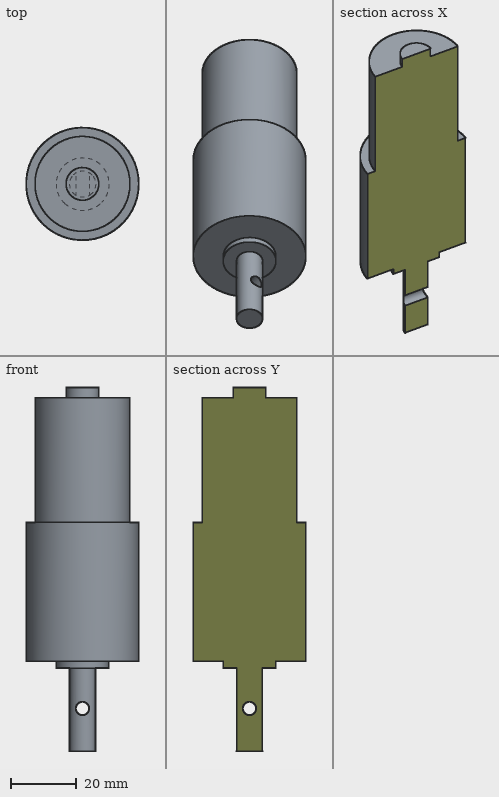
import cadquery as cq

total_length = 110.6

shaft_diameter = 8.0
shaft_length = 25.3
collar_diameter = 16.0
collar_length = 2.0
gearbox_diameter = 34.3
gearbox_length = 42.2
motor_diameter = 28.9
rear_boss_diameter = 10.0
rear_boss_length = 3.1
motor_length = total_length - shaft_length - collar_length - gearbox_length - rear_boss_length

cross_hole_diameter = 4.0
cross_hole_height = 13.0

sections = [
    (shaft_diameter, shaft_length),
    (collar_diameter, collar_length),
    (gearbox_diameter, gearbox_length),
    (motor_diameter, motor_length),
    (rear_boss_diameter, rear_boss_length),
]

body = cq.Workplane("XY").circle(sections[0][0] / 2).extrude(sections[0][1])
for diameter, length in sections[1:]:
    body = body.faces(">Z").workplane().circle(diameter / 2).extrude(length)

cross_hole = (
    cq.Workplane("XZ")
    .center(0, cross_hole_height)
    .circle(cross_hole_diameter / 2)
    .extrude(shaft_diameter, both=True)
)

result = body.cut(cross_hole)